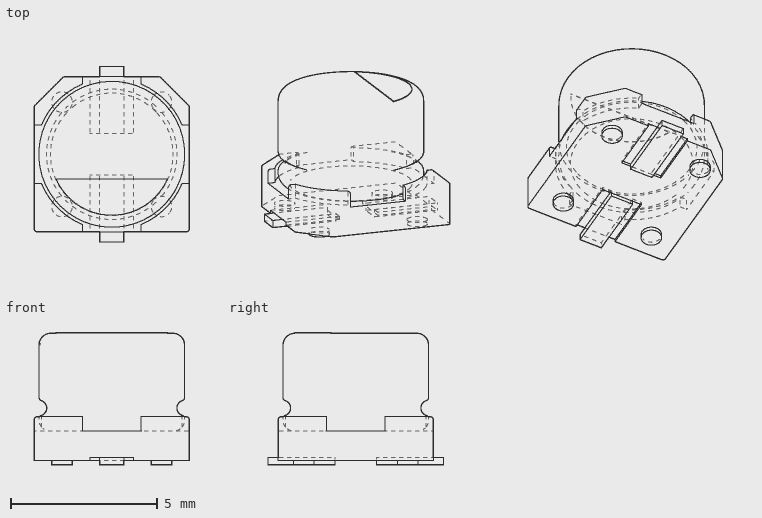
import cadquery as cq
import math

base_side = 5.3
base_bottom = 0.15
base_top = 1.65
corner_cut = 1.0
edge_round = 0.1

seat_radius = 2.6
seat_floor = 1.15
notch_width = 2.0

can_radius = 2.49
can_top = 4.5
top_round = 0.41
neck_z = 1.945
neck_half_height = 0.355
lip_round = 0.11
can_bottom_round = 0.395

mark_height = 0.02
mark_edge_y = -0.845

terminal_span = 6.0
terminal_gap = 1.405
terminal_width = 0.82
terminal_thickness = 0.26
slot_width = 1.5

foot_diameter = 0.7
foot_x = 1.7
foot_y = 1.78


def make_base():
    half = base_side / 2
    outline = [
        (-half, -half),
        (half, -half),
        (half, half - corner_cut),
        (half - corner_cut, half),
        (corner_cut - half, half),
        (-half, half - corner_cut),
    ]
    block = (
        cq.Workplane("XY", origin=(0, 0, base_bottom))
        .polyline(outline)
        .close()
        .extrude(base_top - base_bottom)
        .edges("|Z or >Z")
        .fillet(edge_round)
    )
    seat_level = cq.Workplane("XY", origin=(0, 0, seat_floor))
    seat_depth = base_top - seat_floor
    block = block.cut(seat_level.circle(seat_radius).extrude(seat_depth))
    for size_x, size_y in ((notch_width, base_side), (base_side, notch_width)):
        block = block.cut(seat_level.rect(size_x, size_y).extrude(seat_depth))
    return block


def make_can():
    groove_radius = math.hypot(neck_half_height, lip_round) - lip_round
    lip_centre_r = can_radius - lip_round
    lip_angle = math.atan2(neck_half_height, lip_round)
    tangent_r = can_radius - groove_radius * math.cos(lip_angle)
    tangent_dz = groove_radius * math.sin(lip_angle)
    lip_mid_r = lip_centre_r + lip_round * math.cos(lip_angle / 2)
    lip_mid_dz = neck_half_height - lip_round * math.sin(lip_angle / 2)

    bottom_offset = can_bottom_round * math.sqrt(0.5)
    top_offset = top_round * math.sqrt(0.5)
    bottom_centre_r = can_radius - can_bottom_round
    bottom_centre_z = seat_floor + can_bottom_round
    top_centre_r = can_radius - top_round
    top_centre_z = can_top - top_round

    profile = (
        cq.Workplane("XZ")
        .moveTo(0, seat_floor)
        .lineTo(bottom_centre_r, seat_floor)
        .threePointArc(
            (bottom_centre_r + bottom_offset, bottom_centre_z - bottom_offset),
            (can_radius, bottom_centre_z),
        )
        .lineTo(can_radius, neck_z - neck_half_height)
        .threePointArc((lip_mid_r, neck_z - lip_mid_dz), (tangent_r, neck_z - tangent_dz))
        .threePointArc((can_radius - groove_radius, neck_z), (tangent_r, neck_z + tangent_dz))
        .threePointArc((lip_mid_r, neck_z + lip_mid_dz), (can_radius, neck_z + neck_half_height))
        .lineTo(can_radius, top_centre_z)
        .threePointArc(
            (top_centre_r + top_offset, top_centre_z + top_offset),
            (top_centre_r, can_top),
        )
        .lineTo(0, can_top)
        .close()
    )
    return profile.revolve(360, (0, 0), (0, 1))


def make_polarity_mark():
    lid_radius = can_radius - top_round
    half_chord = math.sqrt(lid_radius**2 - mark_edge_y**2)
    return (
        cq.Workplane("XY", origin=(0, 0, can_top))
        .moveTo(-half_chord, mark_edge_y)
        .threePointArc((0, -lid_radius), (half_chord, mark_edge_y))
        .close()
        .extrude(mark_height)
    )


def make_end_bars(width, span):
    length = (span - terminal_gap) / 2
    centre_y = (span + terminal_gap) / 4
    return (
        cq.Workplane("XY")
        .pushPoints([(0, -centre_y), (0, centre_y)])
        .rect(width, length)
        .extrude(terminal_thickness)
    )


def make_feet():
    return (
        cq.Workplane("XY")
        .rect(2 * foot_x, 2 * foot_y, forConstruction=True)
        .vertices()
        .circle(foot_diameter / 2)
        .extrude(base_bottom)
    )


result = (
    make_base()
    .cut(make_end_bars(slot_width, base_side))
    .union(make_can())
    .union(make_polarity_mark())
    .union(make_end_bars(terminal_width, terminal_span))
    .union(make_feet())
)